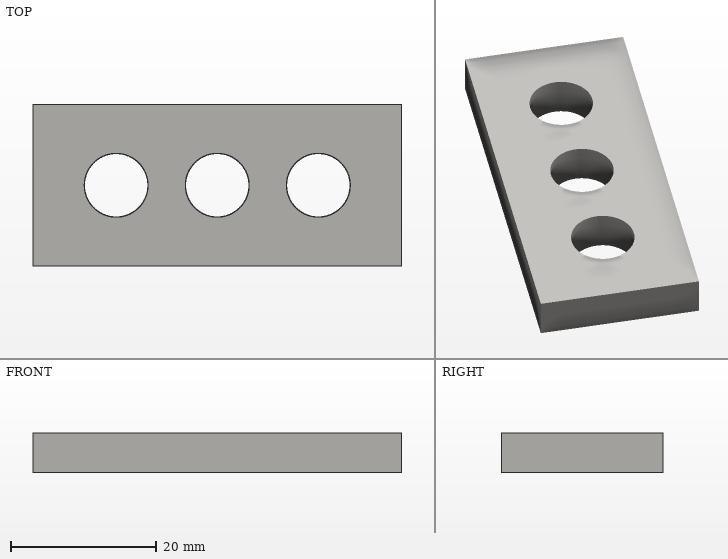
import cadquery as cq

length = 50.8
width = 22.25
thickness = 5.5

hole_diameter = 8.75
hole_pitch = 13.9
hole_count = 3

plate = cq.Workplane("XY").box(length, width, thickness)

result = (
    plate.faces(">Z")
    .workplane()
    .rarray(hole_pitch, width, hole_count, 1)
    .hole(hole_diameter)
)